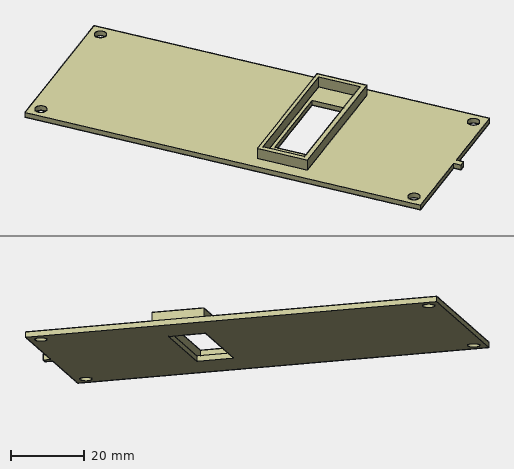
import cadquery as cq

overall_length = 119.5
plate_width = 47.6
overall_height = 4.8
plate_thickness = 1.5

tab_length = 2.2
tab_width = 1.9

hole_diameter = 3.3
hole_inset = 3.3

frame_x = 67.3
frame_y = 4.0
frame_length = 14.8
frame_width = 41.0
left_wall = 1.1
right_wall = 1.4
end_wall = 1.4

window_x = 69.4
window_length = 10.5
window_width = 25.6

plate_length = overall_length - tab_length
frame_height = overall_height - plate_thickness


def block(x, y, z, length, width, height):
    """Box placed by its lowest corner."""
    return cq.Workplane("XY").box(length, width, height, centered=False).translate((x, y, z))


def make_plate():
    """Flat plate with a tab at its +X end and four corner holes."""
    plate = block(0, 0, 0, plate_length, plate_width, plate_thickness)
    tab_y = (plate_width - tab_width) / 2
    tab = block(plate_length - tab_length, tab_y, 0, 2 * tab_length, tab_width, plate_thickness)
    hole_centres = [
        (x, y)
        for x in (hole_inset, plate_length - hole_inset)
        for y in (hole_inset, plate_width - hole_inset)
    ]
    holes = (
        cq.Workplane("XY")
        .pushPoints(hole_centres)
        .circle(hole_diameter / 2)
        .extrude(plate_thickness)
    )
    return plate.union(tab).cut(holes)


def make_frame():
    """Open rectangular wall standing on the plate."""
    outer = block(frame_x, frame_y, plate_thickness, frame_length, frame_width, frame_height)
    inner = block(
        frame_x + left_wall,
        frame_y + end_wall,
        plate_thickness,
        frame_length - left_wall - right_wall,
        frame_width - 2 * end_wall,
        frame_height,
    )
    return outer.cut(inner)


def make_window():
    """Cutter for the opening inside the frame."""
    window_y = (plate_width - window_width) / 2
    return block(window_x, window_y, 0, window_length, window_width, plate_thickness)


result = make_plate().union(make_frame()).cut(make_window())